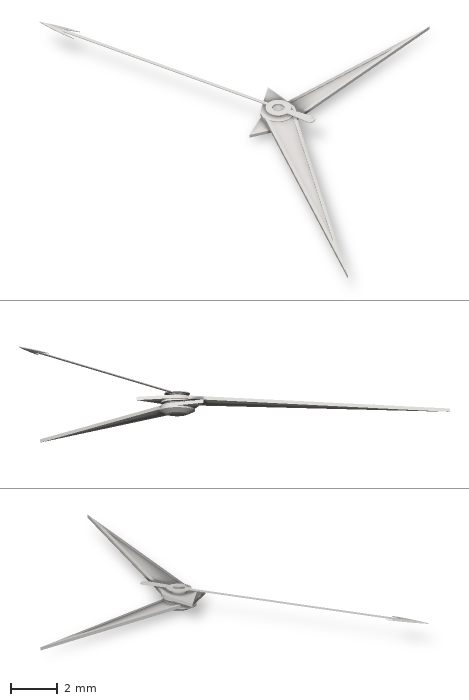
import math

import cadquery as cq

hour_angle = 60
hour_length = 9.2
minute_angle = -60
minute_length = 12.02
second_angle = 165
second_length = 12.02

total_height = 0.92
hour_bottom = 0.22
minute_bottom = 0.55
hand_thickness = 0.15
second_thickness = 0.04

hour_hub_radius = 0.72
hour_tail_length = 1.76
minute_hub_radius = 0.77
minute_tail_length = 1.8
hour_root_half_width = 0.6
minute_root_half_width = 0.7
frame_width = 0.15
panel_depth = 0.04
panel_inner_radius = 0.7

hour_collar_radius = 0.77
hour_collar_foot_radius = 0.46
hour_collar_rim = 0.07
minute_collar_radius = 0.7
minute_collar_thickness = 0.07
minute_tube_radius = 0.53
second_tube_radius = 0.35
second_collar_radius = 0.39
second_collar_thickness = 0.04

second_hub_radius = 0.55
shaft_half_width = 0.07
barb_position = 10.13
barb_half_width = 0.28
barb_notch_position = 10.85
arrow_side_bulge = 0.046
counterweight_length = 1.82
counterweight_root_half_width = 0.11
counterweight_end_half_width = 0.23
counterweight_bulge = 0.15
pin_hole_radius = 0.267
pin_hole_depth = 0.07


def disc(radius, bottom, height):
    return cq.Workplane("XY").workplane(offset=bottom).circle(radius).extrude(height)


def plate(points, bottom, height):
    return cq.Workplane("XY").workplane(offset=bottom).polyline(points).close().extrude(height)


def blade_hand(length, root_half_width, hub_radius, tail_length, bottom):
    """Tapered blade along +X, with a pointed tail and a sunk panel inside a narrow frame."""
    top = bottom + hand_thickness
    blade = plate([(0, -root_half_width), (length, 0), (0, root_half_width)], bottom, hand_thickness)

    tangent_x = -hub_radius**2 / tail_length
    tangent_y = math.sqrt(hub_radius**2 - tangent_x**2)
    tail = plate(
        [(0, 0), (tangent_x, tangent_y), (-tail_length, 0), (tangent_x, -tangent_y)],
        bottom,
        hand_thickness,
    )

    edge_length = math.hypot(length, root_half_width)
    panel_half_width = root_half_width - frame_width * edge_length / length
    panel_length = length * panel_half_width / root_half_width
    panel = plate(
        [(0, -panel_half_width), (panel_length, 0), (0, panel_half_width)],
        top - panel_depth,
        panel_depth,
    ).cut(disc(panel_inner_radius, top - panel_depth, panel_depth))

    return blade.union(tail).union(disc(hub_radius, bottom, hand_thickness)).cut(panel)


def second_hand(bottom):
    """Thin shaft along +X with a barbed arrowhead and a flared counterweight."""
    arrow_middle = (barb_position + second_length) / 2
    arrow_middle_half_width = barb_half_width / 2 + arrow_side_bulge
    arrow_and_shaft = (
        cq.Workplane("XY")
        .workplane(offset=bottom)
        .moveTo(0, -shaft_half_width)
        .lineTo(barb_notch_position, -shaft_half_width)
        .lineTo(barb_position, -barb_half_width)
        .threePointArc((arrow_middle, -arrow_middle_half_width), (second_length, 0))
        .threePointArc((arrow_middle, arrow_middle_half_width), (barb_position, barb_half_width))
        .lineTo(barb_notch_position, shaft_half_width)
        .lineTo(0, shaft_half_width)
        .close()
        .extrude(second_thickness)
    )
    counterweight_shoulder = counterweight_length - counterweight_bulge
    counterweight = (
        cq.Workplane("XY")
        .workplane(offset=bottom)
        .moveTo(0, counterweight_root_half_width)
        .lineTo(-counterweight_shoulder, counterweight_end_half_width)
        .threePointArc(
            (-counterweight_length, 0),
            (-counterweight_shoulder, -counterweight_end_half_width),
        )
        .lineTo(0, -counterweight_root_half_width)
        .close()
        .extrude(second_thickness)
    )
    hub = disc(second_hub_radius, bottom, second_thickness)
    return arrow_and_shaft.union(counterweight).union(hub)


def turned(hand, angle):
    return hand.rotate((0, 0, 0), (0, 0, 1), angle)


def pivot_stack():
    """Revolved collars and tubes, from the domed foot up to the second hand."""
    hour_top = hour_bottom + hand_thickness
    minute_top = minute_bottom + hand_thickness
    second_bottom = total_height - second_thickness
    minute_collar_bottom = minute_bottom - minute_collar_thickness
    second_collar_bottom = second_bottom - second_collar_thickness
    foot = (
        cq.Workplane("XZ")
        .moveTo(0, 0)
        .lineTo(hour_collar_foot_radius, 0)
        .lineTo(hour_collar_radius, hour_bottom - hour_collar_rim)
        .lineTo(hour_collar_radius, hour_bottom)
        .lineTo(0, hour_bottom)
        .close()
        .revolve(360, (0, 0), (0, 1))
    )
    return (
        foot.union(disc(minute_tube_radius, hour_top, minute_collar_bottom - hour_top))
        .union(disc(minute_collar_radius, minute_collar_bottom, minute_collar_thickness))
        .union(disc(second_tube_radius, minute_top, second_collar_bottom - minute_top))
        .union(disc(second_collar_radius, second_collar_bottom, second_collar_thickness))
    )


hour_hand = blade_hand(
    hour_length, hour_root_half_width, hour_hub_radius, hour_tail_length, hour_bottom
)
minute_hand = blade_hand(
    minute_length, minute_root_half_width, minute_hub_radius, minute_tail_length, minute_bottom
)
hour = turned(hour_hand, hour_angle)
minute = turned(minute_hand, minute_angle)
second = turned(second_hand(total_height - second_thickness), second_angle)
pin_hole = disc(pin_hole_radius, total_height - pin_hole_depth, pin_hole_depth)

result = hour.union(pivot_stack()).union(minute).union(second).cut(pin_hole)